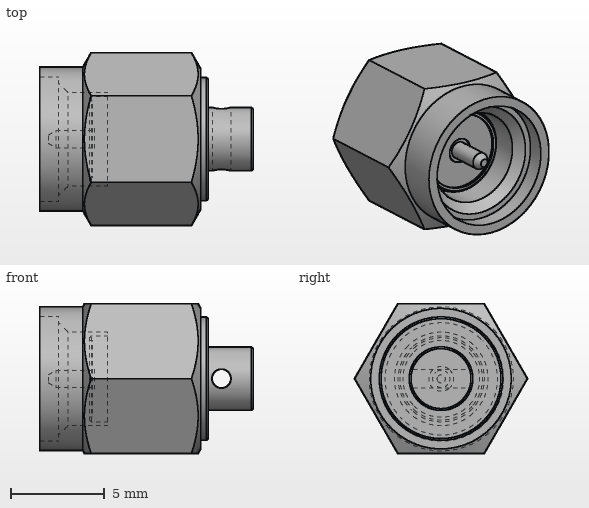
import cadquery as cq
import math


overall_length = 11.4
collar_end = 2.3
nut_end = 8.6
flange_end = 9.0

hex_across_flats = 8.0
collar_radius = 3.85
rear_bevel_length = 0.5
bevel_angle = 30.0

mouth_radius = 3.325
mouth_depth = 1.0
lead_in_radius = 3.0
bore_radius = 2.5
bore_depth = 3.6

ferrule_face = 2.65
ferrule_radius = 2.3
insulator_radius = 2.05
insulator_recess = 0.15
contact_well_radius = 0.66
contact_well_depth = 0.1

pin_tip = 0.45
pin_radius = 0.46
pin_tip_radius = 0.22
pin_taper_length = 0.4

flange_radius = 3.3
tail_radius = 1.7
cross_hole_diameter = 1.0
cross_hole_x = 9.7
edge_chamfer = 0.1

hex_corner_radius = hex_across_flats / math.sqrt(3)
bevel_slope = 1 / math.tan(math.radians(bevel_angle))
front_bevel_length = (hex_corner_radius - collar_radius) / bevel_slope


def turned(profile):
    """Revolve a closed (x, radius) outline about the X axis."""
    return cq.Workplane("XY").polyline(profile).close().revolve(360, (0, 0, 0), (1, 0, 0))


def rod(radius, start, end):
    """Plain cylinder on the X axis."""
    return cq.Workplane("YZ").workplane(offset=start).circle(radius).extrude(end - start)


def chamfered_rod(radius, start, end, chamfered_end):
    """Cylinder on the X axis with one edge broken; chamfered_end is "<X" or ">X"."""
    return rod(radius, start, end).faces(chamfered_end).chamfer(edge_chamfer)


def make_hexagon():
    """Hexagon with flats facing +Z and -Z and both ends bevelled by a cone."""
    prism = (
        cq.Workplane("YZ")
        .workplane(offset=collar_end)
        .polygon(6, 2 * hex_corner_radius)
        .extrude(nut_end - collar_end)
    )
    envelope = turned([
        (collar_end, 0),
        (collar_end, collar_radius),
        (collar_end + front_bevel_length, hex_corner_radius),
        (nut_end - rear_bevel_length, hex_corner_radius),
        (nut_end, hex_corner_radius - rear_bevel_length * bevel_slope),
        (nut_end, 0),
    ])
    return prism.intersect(envelope)


def make_bore():
    """Mouth, 45 degree lead-in cone and straight bore of the nut."""
    lead_in_end = mouth_depth + lead_in_radius - bore_radius
    return turned([
        (0, 0),
        (0, mouth_radius),
        (mouth_depth, mouth_radius),
        (mouth_depth, lead_in_radius),
        (lead_in_end, bore_radius),
        (bore_depth, bore_radius),
        (bore_depth, 0),
    ])


def make_ferrule():
    """Ferrule with its front edge broken, the insulator recess and the contact well."""
    insulator_face = ferrule_face + insulator_recess
    contact_floor = insulator_face + contact_well_depth
    ferrule = chamfered_rod(ferrule_radius, ferrule_face, bore_depth, "<X")
    recess = rod(insulator_radius, ferrule_face, insulator_face)
    contact_well = rod(contact_well_radius, insulator_face, contact_floor)
    return ferrule.cut(recess).cut(contact_well)


def make_pin():
    """Centre pin with a tapered, blunt tip."""
    return turned([
        (pin_tip, 0),
        (pin_tip, pin_tip_radius),
        (pin_tip + pin_taper_length, pin_radius),
        (bore_depth, pin_radius),
        (bore_depth, 0),
    ])


def make_rear():
    """Flange and cable tail, with a hole through the tail along Y."""
    flange = chamfered_rod(flange_radius, nut_end, flange_end, ">X")
    tail = chamfered_rod(tail_radius, flange_end, overall_length, ">X")
    cross_hole = (
        cq.Workplane("XZ")
        .center(cross_hole_x, 0)
        .circle(cross_hole_diameter / 2)
        .extrude(tail_radius, both=True)
    )
    return flange.union(tail.cut(cross_hole))


nut = rod(collar_radius, 0, collar_end).union(make_hexagon()).cut(make_bore())
result = nut.union(make_ferrule()).union(make_pin()).union(make_rear())